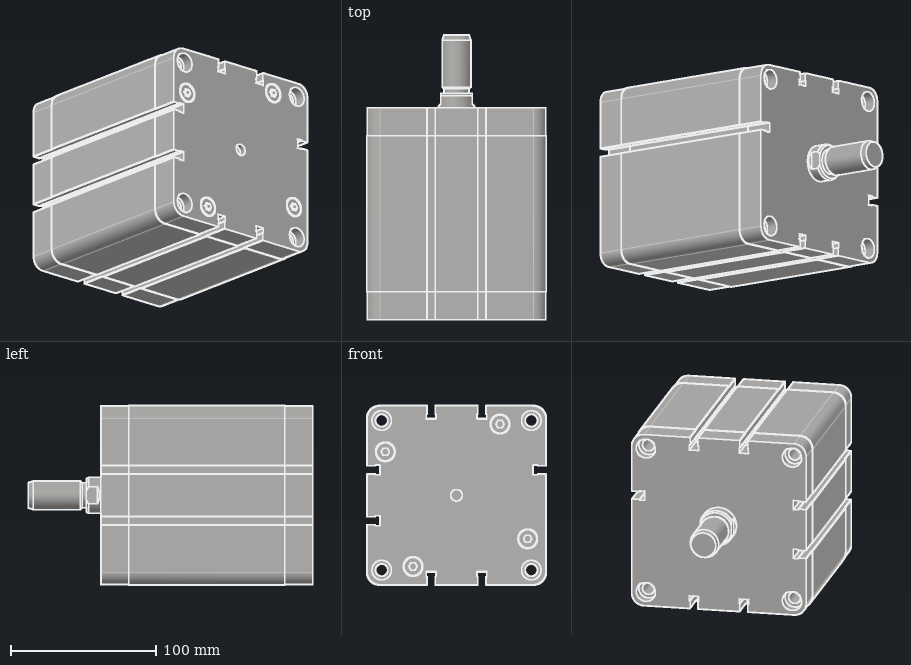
import cadquery as cq
import math


TUBE_SIDE = 124.0
CAP_SIDE = 123.2
CORNER_CENTER = 53.0
BODY_LENGTH = 146.25
CAP_LENGTH = 19.3
TUBE_LENGTH = BODY_LENGTH - 2 * CAP_LENGTH

SLOT_OFFSET = 17.55
SLOT_NECK_WIDTH = 5.5
SLOT_FOOT_WIDTH = 6.6
SLOT_LIP_CHAMFER = 0.3
SLOT_SHOULDER = 56.0
CAP_SLOT_FLOOR = 52.5
TUBE_SLOT_FLOOR = 53.0

MOUNT_OFFSET = 51.6
MOUNT_HOLE_DIAMETER = 8.38
MOUNT_BORE_DIAMETER = 13.5
MOUNT_BORE_DEPTH = 8.5

SCREW_NEAR = 30.0
SCREW_FAR = 49.1
SCREW_BORE_DIAMETER = 13.5
SCREW_HEAD_DIAMETER = 12.5
SCREW_GAP_DEPTH = 1.0
SOCKET_FLATS = 5.0
SOCKET_DEPTH = 4.0

CENTER_HOLE_DIAMETER = 8.0
CENTER_HOLE_DEPTH = 5.0

ROD_LENGTH = 50.25
COLLAR_DIAMETER = 25.0
COLLAR_LENGTH = 10.0
COLLAR_CHAMFER_LENGTH = 1.75
COLLAR_CHAMFER = 1.0
THREAD_DIAMETER = 20.0
UNDERCUT_DIAMETER = 17.5
UNDERCUT_LENGTH = 3.0
THREAD_CHAMFER = (THREAD_DIAMETER - UNDERCUT_DIAMETER) / 2
TIP_CHAMFER_LENGTH = 3.75
FLATS_WIDTH = 22.0
FLATS_START = 2.5


def square_prism(side, start, length):
    """Square bar with rounded edges, running along +Y from Y = start."""
    radius = side / 2 - CORNER_CENTER
    bar = cq.Workplane("XY").box(side, length, side, centered=(True, False, True))
    return bar.edges("|Y").fillet(radius).translate((0, start, 0))


def rod_along_y(points):
    """Solid of revolution about Y from (radius, distance from the rear face) points."""
    return cq.Workplane("XY").polyline(points).close().revolve(360, (0, 0, 0), (0, 1, 0))


def rear_cylinder(x, z, diameter, depth):
    """Cylinder that enters the body from the rear face."""
    disc = cq.Workplane("XZ").center(x, z).circle(diameter / 2)
    return disc.extrude(-depth)


def housing():
    tube = square_prism(TUBE_SIDE, CAP_LENGTH, TUBE_LENGTH)
    rear_cap = square_prism(CAP_SIDE, 0, CAP_LENGTH)
    front_cap = square_prism(CAP_SIDE, BODY_LENGTH - CAP_LENGTH, CAP_LENGTH)
    return tube.union(rear_cap).union(front_cap)


def slot_bar(width, height, start, length, base):
    """Rectangular bar along +Y, centred on X = 0, standing on Z = base."""
    bar = cq.Workplane("XY").box(width, length, height, centered=(True, False, False))
    return bar.translate((0, start, base))


def slot_length(half_side, floor, start, length):
    """One length of T-slot with chamfered lips, cut into a side at Z = half_side."""
    foot = slot_bar(SLOT_FOOT_WIDTH, SLOT_SHOULDER - floor, start, length, floor)
    neck_half = SLOT_NECK_WIDTH / 2
    lip_half = neck_half + SLOT_LIP_CHAMFER
    lip_base = half_side - SLOT_LIP_CHAMFER
    outline = [
        (-neck_half, floor),
        (neck_half, floor),
        (neck_half, lip_base),
        (lip_half, half_side),
        (-lip_half, half_side),
        (-neck_half, lip_base),
    ]
    neck = cq.Workplane("XZ").polyline(outline).close().extrude(-length).translate((0, start, 0))
    return neck.union(foot)


def sensor_slot(offset, angle):
    """Full slot in the top side at X = offset, turned about the Y axis by angle."""
    rear = slot_length(CAP_SIDE / 2, CAP_SLOT_FLOOR, 0, CAP_LENGTH)
    middle = slot_length(TUBE_SIDE / 2, TUBE_SLOT_FLOOR, CAP_LENGTH, TUBE_LENGTH)
    front = slot_length(CAP_SIDE / 2, CAP_SLOT_FLOOR, BODY_LENGTH - CAP_LENGTH, CAP_LENGTH)
    slot = rear.union(middle).union(front).translate((offset, 0, 0))
    return slot.rotate((0, 0, 0), (0, 1, 0), angle)


def cut_slots(body):
    for angle in (0, 180, 270):
        for offset in (-SLOT_OFFSET, SLOT_OFFSET):
            body = body.cut(sensor_slot(offset, angle))
    return body.cut(sensor_slot(-SLOT_OFFSET, 90))


def cut_mounting_holes(body):
    for x in (-MOUNT_OFFSET, MOUNT_OFFSET):
        for z in (-MOUNT_OFFSET, MOUNT_OFFSET):
            bore = rear_cylinder(x, z, MOUNT_BORE_DIAMETER, MOUNT_BORE_DEPTH)
            front_bore = bore.mirror("XZ").translate((0, BODY_LENGTH, 0))
            hole = rear_cylinder(x, z, MOUNT_HOLE_DIAMETER, BODY_LENGTH)
            body = body.cut(hole).cut(bore).cut(front_bore)
    return body


def cut_screws(body):
    """Ring gap and hexagon socket of each assembly screw, four-fold about the axis."""
    gap = rear_cylinder(SCREW_NEAR, SCREW_FAR, SCREW_BORE_DIAMETER, SCREW_GAP_DEPTH)
    gap = gap.cut(rear_cylinder(SCREW_NEAR, SCREW_FAR, SCREW_HEAD_DIAMETER, SCREW_GAP_DEPTH))
    socket_corners = SOCKET_FLATS / math.cos(math.pi / 6)
    for quarter in range(4):
        angle = math.radians(90 * quarter)
        x = SCREW_NEAR * math.cos(angle) - SCREW_FAR * math.sin(angle)
        z = SCREW_NEAR * math.sin(angle) + SCREW_FAR * math.cos(angle)
        socket = cq.Workplane("XZ").center(x, z).polygon(6, socket_corners).extrude(-SOCKET_DEPTH)
        body = body.cut(gap.rotate((0, 0, 0), (0, 1, 0), 90 * quarter)).cut(socket)
    return body


def piston_rod():
    collar_radius = COLLAR_DIAMETER / 2
    thread_radius = THREAD_DIAMETER / 2
    undercut_radius = UNDERCUT_DIAMETER / 2
    collar_end = BODY_LENGTH + COLLAR_LENGTH
    thread_start = collar_end + UNDERCUT_LENGTH
    tip = BODY_LENGTH + ROD_LENGTH
    collar = rod_along_y([
        (0, BODY_LENGTH - CAP_LENGTH),
        (collar_radius, BODY_LENGTH - CAP_LENGTH),
        (collar_radius, collar_end - COLLAR_CHAMFER_LENGTH),
        (collar_radius - COLLAR_CHAMFER, collar_end),
        (0, collar_end),
    ])
    thread = rod_along_y([
        (0, collar_end),
        (undercut_radius, collar_end),
        (undercut_radius, thread_start),
        (thread_radius, thread_start + THREAD_CHAMFER),
        (thread_radius, tip - TIP_CHAMFER_LENGTH),
        (undercut_radius, tip),
        (0, tip),
    ])
    return cut_wrench_flats(collar).union(thread)


def cut_wrench_flats(collar):
    """Two flats facing +X and -X, each running out at 45 degrees towards the cap."""
    flat_x = FLATS_WIDTH / 2
    outer_x = COLLAR_DIAMETER / 2
    run_out = outer_x - flat_x
    flats_start = BODY_LENGTH + FLATS_START
    flats_end = BODY_LENGTH + COLLAR_LENGTH
    outline = [
        (flat_x, flats_end),
        (flat_x, flats_start),
        (outer_x, flats_start - run_out),
        (outer_x, flats_end),
    ]
    cutter = cq.Workplane("XY").polyline(outline).close().extrude(COLLAR_DIAMETER / 2, both=True)
    return collar.cut(cutter).cut(cutter.mirror("YZ"))


body = cut_slots(housing())
body = cut_mounting_holes(body)
body = cut_screws(body)
body = body.cut(rear_cylinder(0, 0, CENTER_HOLE_DIAMETER, CENTER_HOLE_DEPTH))
result = body.union(piston_rod())